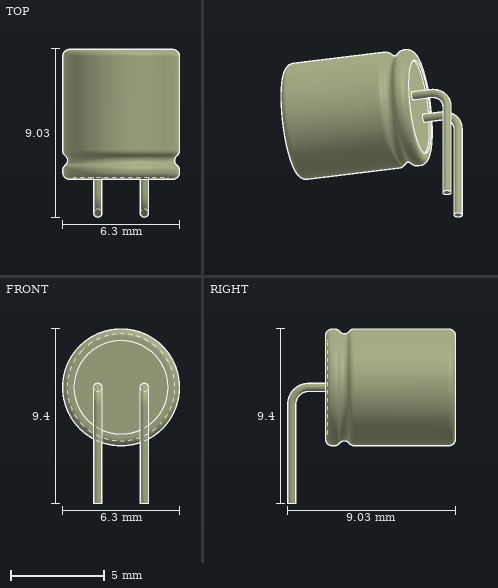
import cadquery as cq
import math

can_diameter = 6.3
can_length = 7.0
edge_radius = 0.395

groove_center = 1.02
groove_depth = 0.26
throat_half_width = 0.25
shoulder_width = 0.29

recess_diameter = 5.04
recess_depth = 0.1

lead_diameter = 0.45
lead_pitch = 2.5
lead_bend_radius = 0.91
overall_length = 9.03
overall_height = 9.4

can_radius = can_diameter / 2
lead_reach = overall_length - can_length - lead_diameter / 2
lead_bottom = can_radius - overall_height


def make_can():
    """Revolve the can's half profile, drawn as (radius, Y), about the Y axis."""
    groove_half_width = throat_half_width + shoulder_width
    turn = 2 * math.atan(groove_depth / groove_half_width)
    shoulder_drop = shoulder_width * math.tan(turn / 2)
    joint_radius = can_radius - shoulder_drop
    diagonal = edge_radius * math.sqrt(0.5)
    corner_center = can_radius - edge_radius
    back_corner = can_length - edge_radius

    profile = (
        cq.Workplane("XY")
        .lineTo(corner_center, 0)
        .threePointArc((corner_center + diagonal, edge_radius - diagonal), (can_radius, edge_radius))
        .lineTo(can_radius, groove_center - groove_half_width)
        .tangentArcPoint((joint_radius, groove_center - throat_half_width), relative=False)
        .threePointArc(
            (can_radius - groove_depth, groove_center),
            (joint_radius, groove_center + throat_half_width),
        )
        .tangentArcPoint((can_radius, groove_center + groove_half_width), relative=False)
        .lineTo(can_radius, back_corner)
        .threePointArc((corner_center + diagonal, back_corner + diagonal), (corner_center, can_length))
        .lineTo(0, can_length)
        .close()
    )
    return profile.revolve(360, (0, 0, 0), (0, 1, 0))


def make_recess():
    """Disc removed from the lead end, reaching from Y = 0 into the can."""
    return cq.Workplane("XZ").circle(recess_diameter / 2).extrude(-recess_depth)


def make_lead(x):
    """Sweep a round wire out of the recess floor, then down through a right-angle bend."""
    path = (
        cq.Workplane("YZ", origin=(x, 0, 0))
        .moveTo(recess_depth, 0)
        .lineTo(lead_bend_radius - lead_reach, 0)
        .tangentArcPoint((-lead_reach, -lead_bend_radius), relative=False)
        .lineTo(-lead_reach, lead_bottom)
    )
    section = cq.Workplane("XZ", origin=(x, recess_depth, 0)).circle(lead_diameter / 2)
    return section.sweep(path)


result = make_can().cut(make_recess())
for side in (-1, 1):
    result = result.union(make_lead(side * lead_pitch / 2))